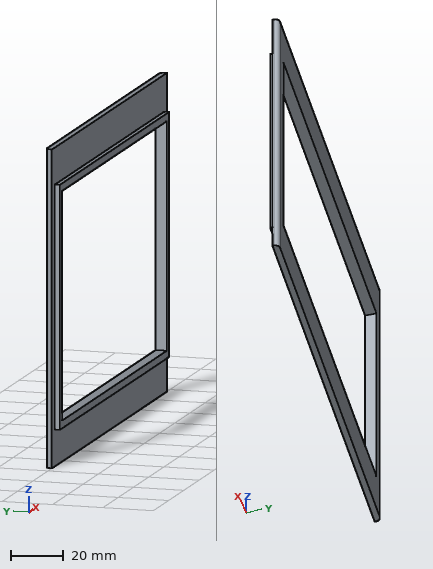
import cadquery as cq

plate_width = 151.0
plate_height = 123.8
total_depth = 4.5

plate_thickness = 2.5
rim_depth = total_depth - plate_thickness
side_edge_radius = 2.0

rim_side_inset = 4.0
rim_wall = 3.0
rim_width = plate_width - 2 * rim_side_inset
rim_height = 95.1
window_width = rim_width - 2 * rim_wall
window_height = rim_height - 2 * rim_wall


def upright_block(width, height, front, depth):
    """Box centred in X and Z, reaching from y = front to y = front + depth."""
    return cq.Workplane("XY").box(width, depth, height).translate((0, front + depth / 2, 0))


def make_plate():
    """Plate with its two vertical back edges rounded."""
    plate = upright_block(plate_width, plate_height, 0, plate_thickness)
    return plate.faces(">Y").edges("|Z").fillet(side_edge_radius)


rim = upright_block(rim_width, rim_height, -rim_depth, rim_depth)
window = upright_block(window_width, window_height, -rim_depth, total_depth)

result = make_plate().union(rim).cut(window)